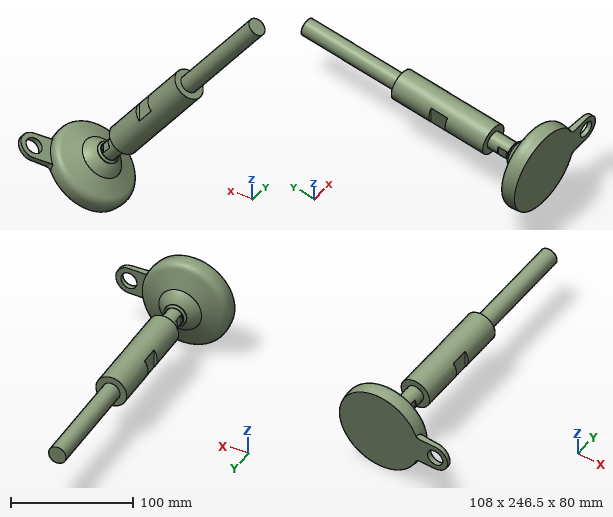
import cadquery as cq
import math


total_length = 246.5
rod_diameter = 16.0
rod_flat_width = 13.0
rod_flat_start = 33.5
rod_flat_length = 8.9

sleeve_diameter = 28.0
sleeve_start = 52.8
sleeve_length = 95.1
sleeve_flat_width = 22.0
sleeve_flat_length = 17.0

base_radius = 39.2
rim_diameter = 80.0
rim_radius = rim_diameter / 2
rim_start = 6.0
rim_end = 9.0
shoulder_radius = 7.1
shoulder_angle = math.radians(69)
cone_top_radius = 19.5
cone_top = 21.7
dome_sphere_radius = 23.5
dome_sphere_centre = 8.5
dome_start = 23.2
dome_end = 29.5
collar_radius = 10.4
collar_edge = 30.5
neck_radius = 8.5
foot_height = 32.0

lug_offset = 55.5
lug_width = 25.0
lug_radius = lug_width / 2
lug_hole_diameter = 15.0
lug_corner_radius = 5.0
lug_root_height = 5.7
lug_tip_height = 3.7


def cylinder(diameter, start, length):
    """Cylinder along the axis, from Y = start."""
    plane = cq.Plane(origin=(0, start, 0), xDir=(1, 0, 0), normal=(0, 1, 0))
    return cq.Workplane(plane).circle(diameter / 2).extrude(length)


def cut_two_flats(body, diameter, across_flats, start, length):
    """Cut a pair of parallel flats facing -X and +X."""
    depth = (diameter - across_flats) / 2
    for side in (-1, 1):
        cutter = cq.Workplane("XY").box(2 * depth, length, diameter)
        body = body.cut(cutter.translate((side * (across_flats / 2 + depth), start + length / 2, 0)))
    return body


def make_rod():
    rod = cylinder(rod_diameter, foot_height, total_length - foot_height)
    return cut_two_flats(rod, rod_diameter, rod_flat_width, rod_flat_start, rod_flat_length)


def make_sleeve():
    sleeve = cylinder(sleeve_diameter, sleeve_start, sleeve_length)
    flat_start = sleeve_start + (sleeve_length - sleeve_flat_length) / 2
    sleeve = cut_two_flats(sleeve, sleeve_diameter, sleeve_flat_width, flat_start, sleeve_flat_length)
    return sleeve.cut(cylinder(rod_diameter, sleeve_start, sleeve_length))


def shoulder_point(angle):
    """Point on the rounded shoulder, at an angle up from the rim."""
    radius = rim_radius - shoulder_radius * (1 - math.cos(angle))
    return radius, rim_end + shoulder_radius * math.sin(angle)


def dome_point(height):
    """Point on the spherical dome at a given height."""
    return math.sqrt(dome_sphere_radius**2 - (height - dome_sphere_centre)**2), height


def make_foot_disc():
    return (
        cq.Workplane("XY")
        .lineTo(base_radius, 0)
        .lineTo(rim_radius, rim_start)
        .lineTo(rim_radius, rim_end)
        .threePointArc(shoulder_point(shoulder_angle / 2), shoulder_point(shoulder_angle))
        .lineTo(cone_top_radius, cone_top)
        .lineTo(*dome_point(dome_start))
        .threePointArc(dome_point((dome_start + dome_end) / 2), dome_point(dome_end))
        .lineTo(collar_radius, collar_edge)
        .lineTo(neck_radius, foot_height)
        .lineTo(0, foot_height)
        .close()
        .revolve(360, (0, 0, 0), (0, 1, 0))
    )


def make_lug():
    """Rounded lug that blends into the disc and gets thinner towards its tip."""
    lug_tip = lug_offset + lug_radius
    corner_z = lug_radius + lug_corner_radius
    reach = base_radius + lug_corner_radius
    corner_x = math.sqrt(reach**2 - corner_z**2)
    corner_angle = math.atan2(corner_z, corner_x)
    tangent_x = base_radius * math.cos(corner_angle)
    tangent_z = base_radius * math.sin(corner_angle)
    middle_angle = (corner_angle + math.pi / 2) / 2
    middle_x = corner_x - lug_corner_radius * math.cos(middle_angle)
    middle_z = corner_z - lug_corner_radius * math.sin(middle_angle)
    outline = (
        cq.Workplane("XZ")
        .moveTo(0, 0)
        .lineTo(tangent_x, tangent_z)
        .threePointArc((middle_x, middle_z), (corner_x, lug_radius))
        .lineTo(lug_offset, lug_radius)
        .threePointArc((lug_tip, 0), (lug_offset, -lug_radius))
        .lineTo(corner_x, -lug_radius)
        .threePointArc((middle_x, -middle_z), (tangent_x, -tangent_z))
        .close()
        .extrude(-lug_root_height)
    )
    side_profile = (
        cq.Workplane("XY")
        .polyline([(0, 0), (lug_tip, 0), (lug_tip, lug_tip_height),
                   (base_radius, lug_root_height), (0, lug_root_height)])
        .close()
        .extrude(rim_radius, both=True)
    )
    return outline.intersect(side_profile)


def make_foot():
    hole = cylinder(lug_hole_diameter, 0, lug_root_height).translate((lug_offset, 0, 0))
    return make_foot_disc().union(make_lug()).cut(hole)


rod = make_rod()
sleeve = make_sleeve()
foot = make_foot()

result = cq.Compound.makeCompound([rod.val(), sleeve.val(), foot.val()])